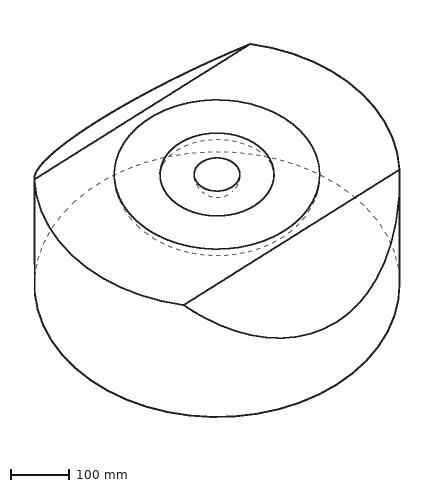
import cadquery as cq

diameter = 630.0
radius = diameter / 2
total_height = 551.0
cone_height = total_height / 2

top_width = 394.0
flat_run = (diameter - top_width) / 2

dimple_diameter = 79.0
groove_width = 79.0
dimple_radius = dimple_diameter / 2
groove_radius = groove_width / 2
boss_diameter = 196.5
groove_centre_radius = boss_diameter / 2 + groove_radius


def make_body():
    """Cylinder standing on an inverted cone, as one revolved profile."""
    return (
        cq.Workplane("XZ")
        .moveTo(0, 0)
        .lineTo(radius, cone_height)
        .lineTo(radius, total_height)
        .lineTo(0, total_height)
        .close()
        .revolve(360, (0, 0), (0, 1))
    )


def make_flat_cutter(side):
    """Triangular prism removing the top corner on one side (-1 or +1 along X)."""
    return (
        cq.Workplane("XZ")
        .moveTo(side * top_width / 2, total_height)
        .lineTo(side * radius, total_height)
        .lineTo(side * radius, total_height - flat_run)
        .close()
        .extrude(radius, both=True)
    )


def make_groove_cutter():
    """Ring of circular section, centred on the top face."""
    return (
        cq.Workplane("XZ")
        .center(groove_centre_radius, total_height)
        .circle(groove_radius)
        .revolve(360, (-groove_centre_radius, 0), (-groove_centre_radius, 1))
    )


def make_dimple_cutter():
    """Ball leaving a hemispherical dimple in the middle of the boss."""
    return cq.Workplane("XY").sphere(dimple_radius).translate((0, 0, total_height))


result = make_body()
for side in (-1, 1):
    result = result.cut(make_flat_cutter(side))
result = result.cut(make_groove_cutter()).cut(make_dimple_cutter())